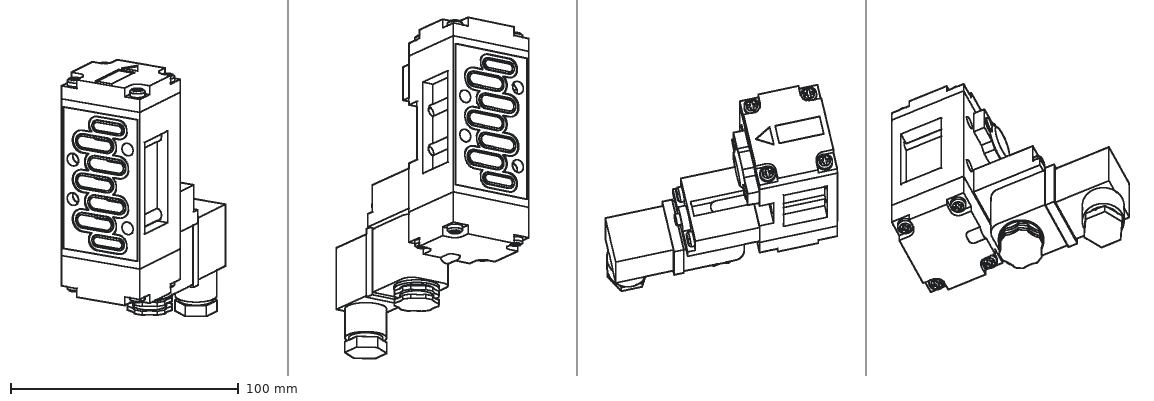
import cadquery as cq
import math


VALVE_WIDTH = 40.0
VALVE_DEPTH = 35.0
VALVE_HEIGHT = 72.0
UPPER_COVER_HEIGHT = 10.0
LOWER_COVER_HEIGHT = 18.0
HALF_WIDTH = VALVE_WIDTH / 2
HALF_HEIGHT = VALVE_HEIGHT / 2

PLATE_THICKNESS = 0.4
PLATE_WIDTH = 37.7
PLATE_HEIGHT = 65.0
PORT_DEPTH = 12.9
ROW_PITCH = 9.0
LONG_PORT = (17.2, 5.2)
SHORT_PORT = (14.3, 3.6)
END_ROW_Z = 26.4
LEFT_PORT_X = -3.0
RIGHT_PORT_X = 3.2
END_PORT_X = 3.9
RIM_WALL = 0.9
GROOVE_WIDTH = 1.7
GROOVE_DEPTH = 0.6

BOLT_HOLE_DIAMETER = 5.7
BOLT_HOLE_X = 14.0
SIDE_POCKET_DEPTH = 5.4
SIDE_POCKET_FRONT = 4.5
SIDE_POCKET_LENGTH = 19.6
SIDE_POCKET_HEIGHT = 42.1
NOTCH_WIDTH = 10.3
NOTCH_DEPTH = 6.3
NOTCH_HEIGHT = 26.9

BACK_PLATE_Z = 24.7
BACK_PLATE_WIDTH = 29.2
BACK_PLATE_HEIGHT = 15.4
BACK_PLATE_THICKNESS = 5.2
LUG_HEIGHT = 2.8
LUG_TIP_WIDTH = 8.0
HUB_HEIGHT = 1.8
HUB_BASE_RADIUS = 9.5
HUB_TOP_RADIUS = 7.2
LOW_SCREW_HEIGHT = 0.8

PIN_RADIUS = 2.6
PIN_LENGTH = 18.6
PIN_Z = -19.9

CORNER_WIDTH = 7.8
FRONT_CORNER_LENGTH = 8.5
BACK_CORNER_LENGTH = 8.3
CORNER_DEPTH = 4.0
CORNER_RADIUS = 3.7
HEAD_RADIUS = 3.4
HEAD_RIM_HEIGHT = 1.7
HEAD_HEIGHT = 2.6
HEAD_TOP_RADIUS = 2.5
CROSS_LENGTH = 4.1
CROSS_WIDTH = 1.2
CROSS_DEPTH = 1.0

MARK_DEPTH = 0.5
MARK_WIDTH = 8.3
MARK_BAR_FRONT = 2.6
MARK_BAR_LENGTH = 20.0
ARROW_BASE_Y = 25.1
ARROW_LENGTH = 7.1

STUD_RADIUS = 3.5
STUD_FRONT = 27.5
STUD_PROTRUSION = 2.2
STUD_NOSE_RADIUS = 2.1

PILOT_X = -5.0
PILOT_WIDTH = 29.9
PILOT_TOP = -15.8
PILOT_HEIGHT = 18.5
PILOT_LENGTH = 28.8
FOOT_LENGTH = 32.3
FOOT_HEIGHT = 6.1
PILOT_SLOT_WIDTH = 6.9
PILOT_SLOT_LENGTH = 26.9
PILOT_SLOT_DEPTH = 7.2
PILOT_SCREW_SPACING = 21.2
PILOT_SCREW_Z = -24.7
BOSS_RADIUS = 5.4
BOSS_Z = -26.5
BUTTON_RADIUS = 2.6
BUTTON_Z = -26.0
BUTTON_HEIGHT = 2.3
BUTTON_CHAMFER = 0.4

COIL_WIDTH = 23.1
COIL_FRONT = 40.1
COIL_LENGTH = 28.3
COIL_HEIGHT = 29.2
COIL_CORNER_RADIUS = 5.0
NUT_Y = 51.0
NUT_HUB_RADIUS = 7.5
NUT_HEIGHT = 8.3
WASHER_RADIUS = 10.0
WASHER_THICKNESS = 1.2
LOBE_COUNT = 6
LOBE_REACH = 9.8
LOBE_WIDTH = 3.7
HOLLOW_REACH = 8.9
LOBED_DISC_THICKNESS = 1.8
UPPER_DISC_DROP = 2.5

COLLAR_WIDTH = 23.9
COLLAR_HEIGHT = 31.5
COLLAR_LENGTH = 4.4
PLUG_WIDTH = 21.0
PLUG_HEIGHT = 28.4
PLUG_LENGTH = 26.0
GLAND_RADIUS = 9.2
GLAND_Y = 91.0
GLAND_TOP_RISE = 2.5
GLAND_BOTTOM_Z = -76.4
NECK_RADIUS = 7.5
NECK_HEIGHT = 2.0
HEX_ACROSS_CORNERS = 18.6
OVERALL_HEIGHT = 129.2

UPPER_TOP_Z = HALF_HEIGHT + UPPER_COVER_HEIGHT
LOWER_BOTTOM_Z = -HALF_HEIGHT - LOWER_COVER_HEIGHT
PILOT_BOTTOM_Z = PILOT_TOP - PILOT_HEIGHT
COIL_BOTTOM_Z = PILOT_BOTTOM_Z - COIL_HEIGHT
COIL_MIDDLE_Z = PILOT_BOTTOM_Z - COIL_HEIGHT / 2
COIL_BACK = COIL_FRONT + COIL_LENGTH
COLLAR_BACK = COIL_BACK + COLLAR_LENGTH
PLUG_BOTTOM_Z = COIL_MIDDLE_Z - PLUG_HEIGHT / 2
HEX_BOTTOM_Z = UPPER_TOP_Z - OVERALL_HEIGHT
SCREW_XS = (PILOT_X - PILOT_SCREW_SPACING / 2, PILOT_X + PILOT_SCREW_SPACING / 2)


def block(x_middle, y_front, z_bottom, width, length, height):
    """Box centred on x_middle, standing on z_bottom and reaching back from y_front."""
    box = cq.Workplane("XY").box(width, length, height, centered=(True, False, False))
    return box.translate((x_middle, y_front, z_bottom))


def rod_back(x, y_front, z, radius, length):
    """Round rod along +Y from y_front."""
    return cq.Workplane(cq.Solid.makeCylinder(radius, length, cq.Vector(x, y_front, z), cq.Vector(0, 1, 0)))


def rod_up(x, y, z_bottom, radius, height):
    """Round rod along +Z from z_bottom."""
    return cq.Workplane(cq.Solid.makeCylinder(radius, height, cq.Vector(x, y, z_bottom)))


def stadium(x, z, length, width, y_front, depth):
    """Round-ended bar lying along X, reaching back from y_front."""
    bar = cq.Workplane("XZ").slot2D(length, width).extrude(-depth)
    return bar.translate((x, y_front, z))


def port_layout():
    """Centre X, centre Z and (length, width) of every port."""
    ports = []
    for row in range(-2, 3):
        port_x = LEFT_PORT_X if row % 2 == 0 else RIGHT_PORT_X
        ports.append((port_x, row * ROW_PITCH, LONG_PORT))
    for port_z in (-END_ROW_Z, END_ROW_Z):
        ports.append((END_PORT_X, port_z, SHORT_PORT))
    return ports


def cut_port_face(valve):
    """Sink the joined sealing grooves, leave a rim around each port, then sink the ports."""
    face_y = -PLATE_THICKNESS
    grooves = cq.Workplane("XY")
    rims = cq.Workplane("XY")
    ports = cq.Workplane("XY")
    for x, z, (length, width) in port_layout():
        rim_length = length + 2 * RIM_WALL
        rim_width = width + 2 * RIM_WALL
        groove_length = rim_length + 2 * GROOVE_WIDTH
        groove_width = rim_width + 2 * GROOVE_WIDTH
        grooves = grooves.union(stadium(x, z, groove_length, groove_width, face_y, GROOVE_DEPTH))
        rims = rims.union(stadium(x, z, rim_length, rim_width, face_y, GROOVE_DEPTH))
        ports = ports.union(stadium(x, z, length, width, face_y, PORT_DEPTH))
    return valve.cut(grooves.cut(rims)).cut(ports)


def cut_mounting(valve):
    """Four through holes, a pocket in each side and the bolt-head notch at the back left edge."""
    for side, hole_z in ((-1, ROW_PITCH), (1, 2 * ROW_PITCH)):
        for z in (-hole_z, hole_z):
            hole_length = PLATE_THICKNESS + VALVE_DEPTH
            valve = valve.cut(
                rod_back(side * BOLT_HOLE_X, -PLATE_THICKNESS, z, BOLT_HOLE_DIAMETER / 2, hole_length)
            )
        pocket_x = side * (HALF_WIDTH - SIDE_POCKET_DEPTH / 2)
        valve = valve.cut(
            block(pocket_x, SIDE_POCKET_FRONT, -SIDE_POCKET_HEIGHT / 2,
                  SIDE_POCKET_DEPTH, SIDE_POCKET_LENGTH, SIDE_POCKET_HEIGHT)
        )
    notch = block(-HALF_WIDTH + NOTCH_WIDTH / 2, VALVE_DEPTH - NOTCH_DEPTH, -NOTCH_HEIGHT / 2,
                  NOTCH_WIDTH, NOTCH_DEPTH, NOTCH_HEIGHT)
    return valve.cut(notch)


def back_plate():
    """Plate with a sloping lug above and below, a conical hub and two low screw heads."""
    half_width = BACK_PLATE_WIDTH / 2
    half_height = BACK_PLATE_HEIGHT / 2
    lug_z = half_height + LUG_HEIGHT
    tip = LUG_TIP_WIDTH / 2
    foot = tip + LUG_HEIGHT
    upper_edge = [
        (half_width, half_height), (foot, half_height), (tip, lug_z),
        (-tip, lug_z), (-foot, half_height), (-half_width, half_height),
    ]
    lower_edge = [(-x, -z) for x, z in upper_edge]
    outline = cq.Workplane("XZ").polyline(upper_edge + lower_edge).close()
    plate = outline.extrude(-BACK_PLATE_THICKNESS - HUB_HEIGHT)
    plate = plate.translate((PILOT_X, VALVE_DEPTH, BACK_PLATE_Z))

    hub_y = VALVE_DEPTH + BACK_PLATE_THICKNESS
    base = rod_back(PILOT_X, VALVE_DEPTH, BACK_PLATE_Z, BACK_PLATE_WIDTH, BACK_PLATE_THICKNESS)
    hub = cq.Workplane(
        cq.Solid.makeCone(HUB_BASE_RADIUS, HUB_TOP_RADIUS, HUB_HEIGHT,
                          cq.Vector(PILOT_X, hub_y, BACK_PLATE_Z), cq.Vector(0, 1, 0))
    )
    plate = plate.intersect(base.union(hub))
    for x in SCREW_XS:
        plate = plate.union(rod_back(x, hub_y, BACK_PLATE_Z, HEAD_RADIUS, LOW_SCREW_HEIGHT))
    return plate


def override_pin():
    """Round-nosed pin standing out of the valve's back, inside the slot of the pilot block."""
    pin = rod_back(PILOT_X, VALVE_DEPTH, PIN_Z, PIN_RADIUS, PIN_LENGTH - PIN_RADIUS)
    nose = cq.Workplane("XY").sphere(PIN_RADIUS)
    return pin.union(nose.translate((PILOT_X, VALVE_DEPTH + PIN_LENGTH - PIN_RADIUS, PIN_Z)))


def make_valve():
    valve = block(0, 0, -HALF_HEIGHT, VALVE_WIDTH, VALVE_DEPTH, VALVE_HEIGHT)
    port_plate = block(0, -PLATE_THICKNESS, -PLATE_HEIGHT / 2, PLATE_WIDTH, PLATE_THICKNESS, PLATE_HEIGHT)
    valve = valve.union(port_plate)
    valve = cut_port_face(valve)
    valve = cut_mounting(valve)
    return valve.union(back_plate()).union(override_pin())


def screw_head():
    """Cross-recessed screw head standing on Z = 0."""
    head = rod_up(0, 0, 0, HEAD_RADIUS, HEAD_RIM_HEIGHT)
    crown = cq.Solid.makeCone(HEAD_RADIUS, HEAD_TOP_RADIUS, HEAD_HEIGHT - HEAD_RIM_HEIGHT,
                              cq.Vector(0, 0, HEAD_RIM_HEIGHT))
    head = head.union(cq.Workplane(crown))
    recess_z = HEAD_HEIGHT - CROSS_DEPTH
    for length, width in ((CROSS_LENGTH, CROSS_WIDTH), (CROSS_WIDTH, CROSS_LENGTH)):
        head = head.cut(block(0, -width / 2, recess_z, length, width, CROSS_DEPTH))
    return head


def make_cover(height):
    """End cover standing on Z = 0, with a screw head in a recess at each upper corner."""
    cover = block(0, 0, 0, VALVE_WIDTH, VALVE_DEPTH, height)
    floor_z = height - CORNER_DEPTH
    screw_x = HALF_WIDTH - CORNER_WIDTH + CORNER_RADIUS
    front_screw_y = FRONT_CORNER_LENGTH - CORNER_RADIUS
    back_screw_y = VALVE_DEPTH - BACK_CORNER_LENGTH + CORNER_RADIUS
    ends = (
        (0, FRONT_CORNER_LENGTH, front_screw_y),
        (VALVE_DEPTH, BACK_CORNER_LENGTH, back_screw_y),
    )
    for side in (-1, 1):
        for end_y, corner_length, screw_y in ends:
            recess = cq.Workplane("XY").box(2 * CORNER_WIDTH, 2 * corner_length, CORNER_DEPTH,
                                            centered=(True, True, False))
            recess = recess.edges("|Z").fillet(CORNER_RADIUS)
            cover = cover.cut(recess.translate((side * HALF_WIDTH, end_y, floor_z)))
            cover = cover.union(screw_head().translate((side * screw_x, screw_y, floor_z)))
    return cover


def make_upper_cover():
    cover = make_cover(UPPER_COVER_HEIGHT).translate((0, 0, HALF_HEIGHT))
    mark_z = UPPER_TOP_Z - MARK_DEPTH
    bar = block(0, MARK_BAR_FRONT, mark_z, MARK_WIDTH, MARK_BAR_LENGTH, MARK_DEPTH)
    arrow_points = [
        (-MARK_WIDTH / 2, ARROW_BASE_Y),
        (MARK_WIDTH / 2, ARROW_BASE_Y),
        (0, ARROW_BASE_Y + ARROW_LENGTH),
    ]
    arrow = cq.Workplane("XY").workplane(offset=mark_z).polyline(arrow_points).close().extrude(MARK_DEPTH)
    return cover.cut(bar).cut(arrow)


def make_lower_cover():
    cover = make_cover(LOWER_COVER_HEIGHT).mirror("XY").translate((0, 0, -HALF_HEIGHT))
    stud_z = LOWER_BOTTOM_Z - STUD_PROTRUSION + STUD_RADIUS
    stud = rod_back(0, STUD_FRONT, stud_z, STUD_RADIUS, VALVE_DEPTH - STUD_FRONT)
    stud = stud.faces("<Y").edges().fillet(STUD_NOSE_RADIUS)
    return cover.union(stud)


def make_pilot():
    """Stepped block with a slot in its top that clears the valve's pin, two screws and a push button."""
    step_y = VALVE_DEPTH + PILOT_LENGTH
    foot_y = VALVE_DEPTH + FOOT_LENGTH
    pilot = block(PILOT_X, VALVE_DEPTH, PILOT_BOTTOM_Z, PILOT_WIDTH, PILOT_LENGTH, PILOT_HEIGHT)
    pilot = pilot.union(
        block(PILOT_X, VALVE_DEPTH, PILOT_BOTTOM_Z, PILOT_WIDTH, FOOT_LENGTH, FOOT_HEIGHT)
    )

    slot_floor_z = PILOT_TOP - PILOT_SLOT_DEPTH
    pilot = pilot.cut(
        block(PILOT_X, VALVE_DEPTH, slot_floor_z, PILOT_SLOT_WIDTH, PILOT_SLOT_LENGTH, PILOT_SLOT_DEPTH)
    )

    screw = screw_head().rotate((0, 0, 0), (1, 0, 0), -90)
    for x in SCREW_XS:
        pilot = pilot.union(screw.translate((x, step_y, PILOT_SCREW_Z)))
    pilot = pilot.union(rod_back(PILOT_X, step_y, BOSS_Z, BOSS_RADIUS, FOOT_LENGTH - PILOT_LENGTH))
    button = rod_back(PILOT_X, foot_y, BUTTON_Z, BUTTON_RADIUS, BUTTON_HEIGHT)
    return pilot.union(button.faces(">Y").chamfer(BUTTON_CHAMFER))


def lobed_disc(z_bottom):
    """Disc of the coil nut: blunt lobes with hollow flanks between them."""
    step = 2 * math.pi / LOBE_COUNT
    corner_radius = math.hypot(LOBE_REACH, LOBE_WIDTH / 2)
    half_lobe = math.atan2(LOBE_WIDTH / 2, LOBE_REACH)

    def polar(radius, angle):
        return (radius * math.sin(angle), radius * math.cos(angle))

    outline = cq.Workplane("XY").moveTo(*polar(corner_radius, -half_lobe))
    for lobe in range(LOBE_COUNT):
        angle = lobe * step
        outline = outline.lineTo(*polar(corner_radius, angle + half_lobe))
        hollow = polar(HOLLOW_REACH, angle + step / 2)
        outline = outline.threePointArc(hollow, polar(corner_radius, angle + step - half_lobe))
    return outline.close().extrude(LOBED_DISC_THICKNESS).translate((PILOT_X, NUT_Y, z_bottom))


def make_coil():
    """Coil housing with two rounded front edges and its fixing nut underneath."""
    coil = block(PILOT_X, COIL_FRONT, COIL_BOTTOM_Z, COIL_WIDTH, COIL_LENGTH, COIL_HEIGHT)
    coil = coil.faces("<Y").edges("|Z").fillet(COIL_CORNER_RADIUS)
    nut_bottom_z = COIL_BOTTOM_Z - NUT_HEIGHT
    coil = coil.union(rod_up(PILOT_X, NUT_Y, nut_bottom_z, NUT_HUB_RADIUS, NUT_HEIGHT))
    coil = coil.union(
        rod_up(PILOT_X, NUT_Y, COIL_BOTTOM_Z - WASHER_THICKNESS, WASHER_RADIUS, WASHER_THICKNESS)
    )
    upper_disc_z = COIL_BOTTOM_Z - UPPER_DISC_DROP - LOBED_DISC_THICKNESS
    for disc_z in (nut_bottom_z, upper_disc_z):
        coil = coil.union(lobed_disc(disc_z))
    return coil


def make_plug():
    """Sealing collar, plug housing and a downward cable gland with its hexagon nut."""
    plug = block(PILOT_X, COIL_BACK, COIL_MIDDLE_Z - COLLAR_HEIGHT / 2,
                 COLLAR_WIDTH, COLLAR_LENGTH, COLLAR_HEIGHT)
    plug = plug.union(block(PILOT_X, COLLAR_BACK, PLUG_BOTTOM_Z, PLUG_WIDTH, PLUG_LENGTH, PLUG_HEIGHT))

    neck_bottom_z = GLAND_BOTTOM_Z - NECK_HEIGHT
    gland_height = PLUG_BOTTOM_Z + GLAND_TOP_RISE - GLAND_BOTTOM_Z
    gland = rod_up(PILOT_X, GLAND_Y, GLAND_BOTTOM_Z, GLAND_RADIUS, gland_height)
    gland_overhang = GLAND_Y + GLAND_RADIUS - COLLAR_BACK - PLUG_LENGTH
    gland = gland.faces(">Z").chamfer(GLAND_TOP_RISE, gland_overhang)
    neck = rod_up(PILOT_X, GLAND_Y, neck_bottom_z, NECK_RADIUS, NECK_HEIGHT)
    hexagon = cq.Workplane("XY").polygon(6, HEX_ACROSS_CORNERS).extrude(neck_bottom_z - HEX_BOTTOM_Z)
    hexagon = hexagon.rotate((0, 0, 0), (0, 0, 1), 90).translate((PILOT_X, GLAND_Y, HEX_BOTTOM_Z))
    return plug.union(gland).union(neck).union(hexagon)


valve = make_valve()
upper_cover = make_upper_cover()
lower_cover = make_lower_cover()
pilot = make_pilot()
coil = make_coil()
plug = make_plug()

result = cq.Compound.makeCompound([
    valve.val(),
    upper_cover.val(),
    lower_cover.val(),
    pilot.val(),
    coil.val(),
    plug.val(),
])